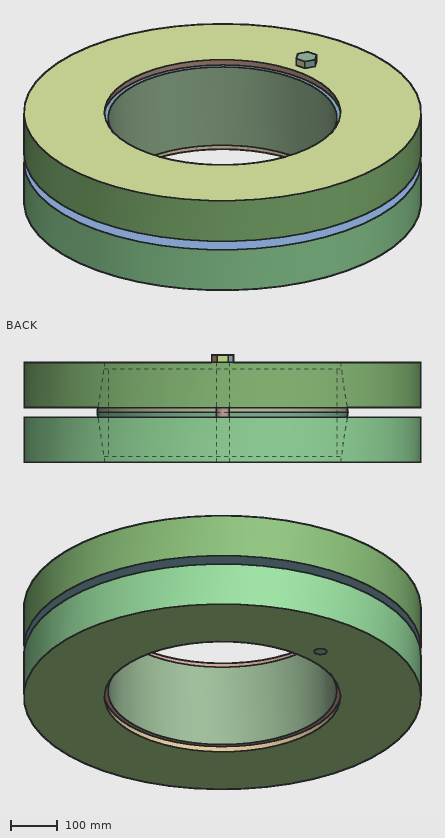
import cadquery as cq
import math

outer_diameter = 850.0
disc_thickness = 97.0
gap = 20.0
gap_half = gap / 2
disc_face = gap_half + disc_thickness

bore_diameter = 490.0
ridge_diameter = 537.0
mouth_diameter = 505.0
recess_depth = 14.0
inner_half_height = disc_face - recess_depth

bolt_radius_from_axis = 295.0
shank_diameter = 27.0
head_flats = 41.0
head_height = 16.0


def cone_radius(height):
    """Radius of the shared conical surface at a distance from the mid-plane."""
    slope = (ridge_diameter - mouth_diameter) / 2 / disc_face
    return ridge_diameter / 2 - slope * height


def make_clamping_disc(side):
    """Disc with tapered bore and bolt hole; side is +1 above or -1 below the mid-plane."""
    profile = [
        (cone_radius(gap_half), side * gap_half),
        (outer_diameter / 2, side * gap_half),
        (outer_diameter / 2, side * disc_face),
        (cone_radius(disc_face), side * disc_face),
    ]
    disc = cq.Workplane("XZ").polyline(profile).close().revolve(360, (0, 0), (0, 1))
    bolt_hole = (
        cq.Workplane("XY", origin=(0, bolt_radius_from_axis, -disc_face))
        .circle(shank_diameter / 2)
        .extrude(2 * disc_face)
    )
    return disc.cut(bolt_hole)


def make_inner_ring():
    """Ring with a cylindrical bore and a double-cone outside."""
    end_radius = cone_radius(inner_half_height)
    profile = [
        (bore_diameter / 2, -inner_half_height),
        (end_radius, -inner_half_height),
        (ridge_diameter / 2, 0),
        (end_radius, inner_half_height),
        (bore_diameter / 2, inner_half_height),
    ]
    return cq.Workplane("XZ").polyline(profile).close().revolve(360, (0, 0), (0, 1))


def make_bolt():
    """Hex bolt, its head resting on the upper disc and its shank ending flush below."""
    shank = cq.Workplane("XY").workplane(offset=-disc_face).circle(shank_diameter / 2).extrude(2 * disc_face)
    corner_diameter = head_flats / math.cos(math.radians(30))
    head = cq.Workplane("XY").workplane(offset=disc_face).polygon(6, corner_diameter).extrude(head_height)
    return shank.union(head).translate((0, bolt_radius_from_axis, 0))


upper_disc, lower_disc = [make_clamping_disc(side) for side in (1, -1)]
inner_ring = make_inner_ring()
bolt = make_bolt()

result = cq.Compound.makeCompound([upper_disc.val(), lower_disc.val(), inner_ring.val(), bolt.val()])